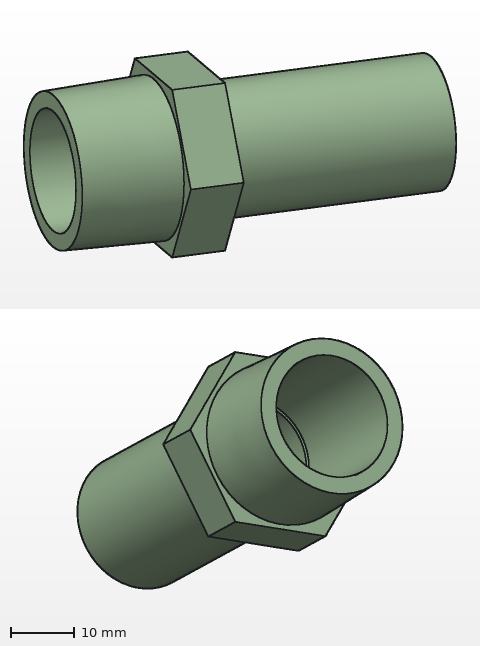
import cadquery as cq
import math

total_length = 64.0
taper_length = 17.0
hex_length = 8.95
hex_across_flats = 28.0
taper_end_diameter = 25.4
taper_ratio = 1 / 16
tube_diameter = 22.0
tube_bore_diameter = 19.0
taper_bore_diameter = 20.0

hex_across_corners = hex_across_flats / math.cos(math.radians(30))
taper_root_diameter = taper_end_diameter + taper_length * taper_ratio
hex_end = taper_length + hex_length
tube_length = total_length - hex_end


def section_plane(y):
    """Plane across the axis at y, with its normal along +Y."""
    return cq.Workplane(cq.Plane(origin=(0, y, 0), xDir=(1, 0, 0), normal=(0, 1, 0)))


def cylinder(y, diameter, length):
    return section_plane(y).circle(diameter / 2).extrude(length)


taper = (
    section_plane(0)
    .circle(taper_end_diameter / 2)
    .workplane(offset=taper_length)
    .circle(taper_root_diameter / 2)
    .loft(ruled=True)
)

collar = section_plane(taper_length).polygon(6, hex_across_corners).extrude(hex_length)

tube = cylinder(hex_end, tube_diameter, tube_length)

wide_bore = cylinder(0, taper_bore_diameter, hex_end)
narrow_bore = cylinder(hex_end, tube_bore_diameter, tube_length)

result = taper.union(collar).union(tube).cut(wide_bore).cut(narrow_bore)